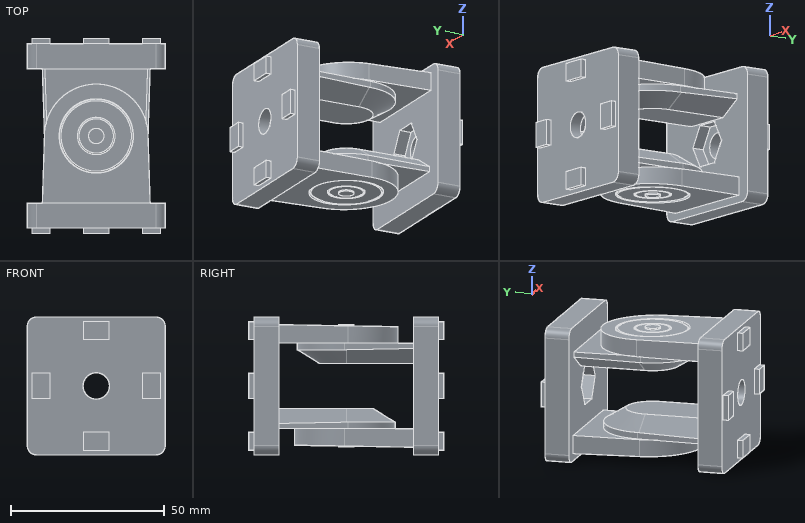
import cadquery as cq
import math


plate_size = 45.0
plate_corner_radius = 3.05
half_length = 31.8
tab_height = 1.7
plate_outer_y = half_length - tab_height
plate_inner_y = 21.9
plate_thickness = plate_outer_y - plate_inner_y

tab_width = 8.3
tab_depth = 5.9
tab_edge_margin = 1.5
tab_offset = plate_size / 2 - tab_edge_margin - tab_depth / 2

bolt_hole_diameter = 8.5
nut_across_flats = 13.75
nut_across_corners = nut_across_flats / math.cos(math.radians(30))
nut_pocket_depth = plate_thickness / 2

arm_contact_z = 13.9
flare_angle = 1.8
outer_arm_radius = 16.9
outer_arm_root_z = 20.05
outer_arm_tip_z = 19.35
inner_arm_radius = 16.0
inner_arm_inner_z = 7.3
inner_flat_radius = 8.8
inner_slope_angle = 31.7
inner_arm_thickness = arm_contact_z - inner_arm_inner_z

pivot_hole_diameter = 24.2
boss_diameter = 24.0
boss_end_z = 19.5
edge_bevel = 0.5
groove_diameter = 12.2
tip_diameter = 5.0
tip_end_z = 20.0


def arm_outline(radius, start_z, flare):
    """Round-ended outline on the pivot axis, its sides flaring to the plate at -Y."""
    angle = math.radians(flare)
    tangent_x = radius * math.cos(angle)
    tangent_y = radius * math.sin(angle)
    root_x = tangent_x + (plate_inner_y + tangent_y) * math.tan(angle)
    return (
        cq.Workplane("XY", origin=(0, 0, start_z))
        .moveTo(-root_x, -plate_inner_y)
        .lineTo(-tangent_x, tangent_y)
        .threePointArc((0, radius), (tangent_x, tangent_y))
        .lineTo(root_x, -plate_inner_y)
        .close()
    )


def make_plate():
    """Rounded square plate on the -Y side with tabs, a bolt hole and a nut pocket."""
    plate = (
        cq.Workplane("XZ", origin=(0, -plate_inner_y, 0))
        .rect(plate_size, plate_size)
        .extrude(plate_thickness)
        .edges("|Y")
        .fillet(plate_corner_radius)
    )
    outer_face = cq.Workplane("XZ", origin=(0, -plate_outer_y, 0))
    for side in (-1, 1):
        offset = side * tab_offset
        side_tab = outer_face.center(offset, 0).rect(tab_depth, tab_width).extrude(tab_height)
        end_tab = outer_face.center(0, offset).rect(tab_width, tab_depth).extrude(tab_height)
        plate = plate.union(side_tab).union(end_tab)
    inner_face = cq.Workplane("XZ", origin=(0, -plate_inner_y, 0))
    bolt_hole = inner_face.circle(bolt_hole_diameter / 2).extrude(plate_thickness)
    nut_pocket = inner_face.polygon(6, nut_across_corners).extrude(nut_pocket_depth)
    return plate.cut(bolt_hole).cut(nut_pocket)


def make_outer_arm():
    """Outer arm, on the +Z side: its top slopes to the free end and a pivot hole goes through."""
    thickness = outer_arm_root_z - arm_contact_z
    blank = arm_outline(outer_arm_radius, arm_contact_z, flare_angle).extrude(thickness)
    side_profile = (
        cq.Workplane("YZ")
        .moveTo(-plate_inner_y, arm_contact_z)
        .lineTo(-plate_inner_y, outer_arm_root_z)
        .lineTo(outer_arm_radius, outer_arm_tip_z)
        .lineTo(outer_arm_radius, arm_contact_z)
        .close()
        .extrude(plate_size / 2, both=True)
    )
    pivot_hole = (
        cq.Workplane("XY", origin=(0, 0, arm_contact_z))
        .circle(pivot_hole_diameter / 2)
        .extrude(thickness)
    )
    return blank.intersect(side_profile).cut(pivot_hole)


def make_inner_arm():
    """Inner arm, on the -Z side: it narrows in a straight slope to its flat inner face."""
    blank = arm_outline(inner_arm_radius, -arm_contact_z, flare_angle).extrude(inner_arm_thickness)
    flat_outline = arm_outline(inner_flat_radius, -inner_arm_inner_z, 0)
    slope = flat_outline.extrude(-inner_arm_thickness, taper=inner_slope_angle - 90)
    return blank.intersect(slope)


def make_boss():
    """Pivot boss below the inner arm, with a bevelled rim, a ring groove and a round tip."""
    boss_radius = boss_diameter / 2
    groove_radius = groove_diameter / 2
    groove_floor_z = boss_end_z - edge_bevel
    return (
        cq.Workplane("XZ")
        .moveTo(0, -arm_contact_z)
        .lineTo(boss_radius, -arm_contact_z)
        .lineTo(boss_radius, -groove_floor_z)
        .lineTo(boss_radius - edge_bevel, -boss_end_z)
        .lineTo(groove_radius, -boss_end_z)
        .lineTo(groove_radius, -groove_floor_z)
        .lineTo(groove_radius - edge_bevel, -boss_end_z)
        .lineTo(tip_diameter / 2, -boss_end_z)
        .lineTo(tip_diameter / 2, -tip_end_z)
        .lineTo(0, -tip_end_z)
        .close()
        .revolve(360, (0, 0, 0), (0, 1, 0))
    )


def make_link():
    """One complete link with its plate on the -Y side."""
    return make_plate().union(make_outer_arm()).union(make_inner_arm()).union(make_boss())


links = []
for turn in (0, 180):
    links.append(make_link().rotate((0, 0, 0), (1, 0, 0), turn).solids().val())

result = cq.Compound.makeCompound(links)